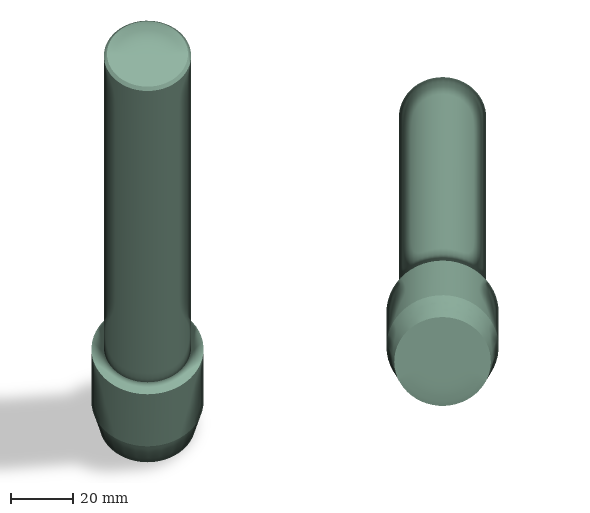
import cadquery as cq
import math

total_length = 200.0
rod_radius = 28.0 / 2
rod_chamfer = 1.0

sleeve_radius = 36.0 / 2
sleeve_edge_height = 40.2
sleeve_top_slope = 15.0
nose_height = 12.0
nose_end_radius = 31.0 / 2


def make_rod():
    """Straight round rod that runs the full length, chamfered at its top end."""
    rod = cq.Workplane("XY").circle(rod_radius).extrude(total_length)
    return rod.faces(">Z").edges().chamfer(rod_chamfer)


def make_sleeve():
    """Ring with a bore that fits the rod, a sloped top and a tapered nose."""
    wall = sleeve_radius - rod_radius
    top_height = sleeve_edge_height + wall * math.tan(math.radians(sleeve_top_slope))
    profile = (
        cq.Workplane("XZ")
        .moveTo(rod_radius, 0)
        .lineTo(nose_end_radius, 0)
        .lineTo(sleeve_radius, nose_height)
        .lineTo(sleeve_radius, sleeve_edge_height)
        .lineTo(rod_radius, top_height)
        .close()
    )
    return profile.revolve(360, (0, 0, 0), (0, 1, 0))


rod = make_rod()
sleeve = make_sleeve()

result = cq.Compound.makeCompound([rod.val(), sleeve.val()])